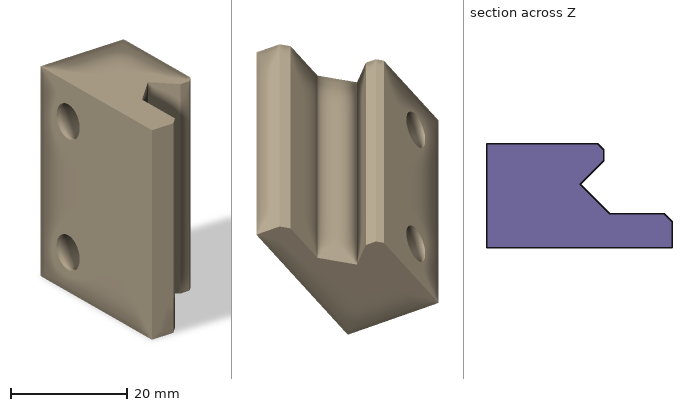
import cadquery as cq

width = 32.0
depth = 18.0
height = 40.0

flange_depth = 6.0
flange_chamfer = 1.4
lip_x = 20.2
lip_chamfer = 1.0
groove_x = 16.2
groove_y = 11.0

hole_diameter = 6.6
hole_x = 8.0
hole_spacing = 25.0


def make_body():
    """Extrude the profile along Z; both groove walls slope at 45 degrees."""
    lip_bottom_y = groove_y + (lip_x - groove_x)
    groove_foot_x = groove_x + (groove_y - flange_depth)
    return (
        cq.Workplane("XY")
        .moveTo(0, 0)
        .lineTo(width, 0)
        .lineTo(width, flange_depth - flange_chamfer)
        .lineTo(width - flange_chamfer, flange_depth)
        .lineTo(groove_foot_x, flange_depth)
        .lineTo(groove_x, groove_y)
        .lineTo(lip_x, lip_bottom_y)
        .lineTo(lip_x, depth - lip_chamfer)
        .lineTo(lip_x - lip_chamfer, depth)
        .lineTo(0, depth)
        .close()
        .extrude(height)
    )


def make_holes():
    """Two cylinders running through the full depth along Y."""
    hole_heights = [(height - hole_spacing) / 2, (height + hole_spacing) / 2]
    return (
        cq.Workplane("XZ")
        .pushPoints([(hole_x, z) for z in hole_heights])
        .circle(hole_diameter / 2)
        .extrude(-depth)
    )


result = make_body().cut(make_holes())